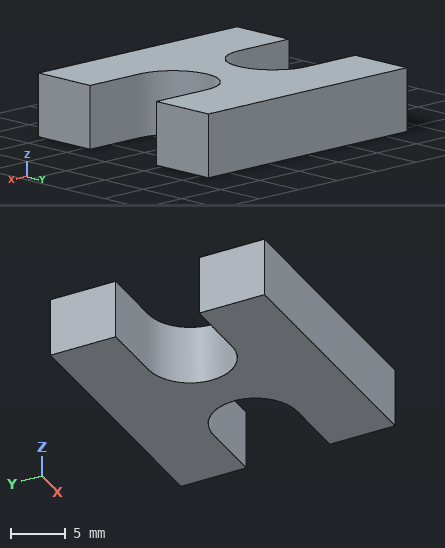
import cadquery as cq

length = 25.4
width = 22.1
thickness = 6.0
slot_width = 8.6

slot_radius = slot_width / 2
arc_center_x = length / 4


def end_slot(side):
    """Round-bottomed through slot open at the +X (side = 1) or -X (side = -1) end."""
    end_x = side * length / 2
    arc_x = side * arc_center_x
    bottom_x = side * (arc_center_x - slot_radius)
    return (
        cq.Workplane("XY")
        .moveTo(end_x, -slot_radius)
        .lineTo(arc_x, -slot_radius)
        .threePointArc((bottom_x, 0), (arc_x, slot_radius))
        .lineTo(end_x, slot_radius)
        .close()
        .extrude(thickness)
    )


result = cq.Workplane("XY").box(length, width, thickness, centered=(True, True, False))
for side in (-1, 1):
    result = result.cut(end_slot(side))